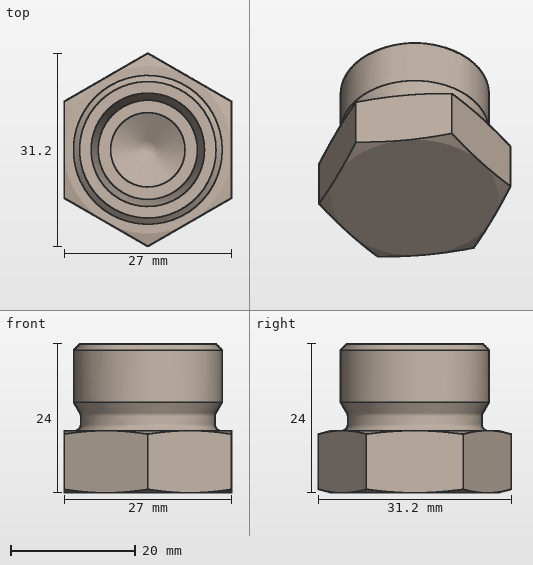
import cadquery as cq
import math

hex_corners = 31.18
hex_flats = hex_corners * math.cos(math.radians(30))
hex_height = 10.0
hex_chamfer_angle = 15.0

total_height = 24.0
spigot_diameter = 24.0
top_chamfer = 1.0
shoulder_height = 14.62
neck_diameter = 21.7
neck_cone_angle = 30.0
neck_blend_radius = 1.0
undercut_blend_radius = 1.0

mouth_diameter = 18.3
bore_diameter = 16.0
bore_cone_angle = 12.0
bore_depth = 8.5
pilot_diameter = 12.0
pilot_depth = 16.2
drill_tip_angle = 59.0


def tan_deg(angle):
    return math.tan(math.radians(angle))


def make_hexagon():
    """Hexagon with corners on Y, both ends turned down to the flats circle."""
    prism = cq.Workplane("XY").polygon(6, hex_corners).extrude(hex_height)
    prism = prism.rotate((0, 0, 0), (0, 0, 1), 90)
    flat_radius = hex_flats / 2
    corner_radius = hex_corners / 2
    drop = (corner_radius - flat_radius) * tan_deg(hex_chamfer_angle)
    turned_envelope = (
        cq.Workplane("XZ")
        .polyline([
            (0, 0),
            (flat_radius, 0),
            (corner_radius, drop),
            (corner_radius, hex_height - drop),
            (flat_radius, hex_height),
            (0, hex_height),
        ])
        .close()
        .revolve(360, (0, 0, 0), (0, 1, 0))
    )
    return prism.intersect(turned_envelope)


def make_spigot():
    """Chamfered spigot with a tapered undercut and a flared neck foot."""
    radius = spigot_diameter / 2
    neck_radius = neck_diameter / 2
    cone_end = shoulder_height - (radius - neck_radius) / tan_deg(neck_cone_angle)

    tangent_length = undercut_blend_radius * tan_deg(neck_cone_angle / 2)
    half_angle = math.radians(neck_cone_angle / 2)
    full_angle = math.radians(neck_cone_angle)
    blend_start = cone_end - tangent_length
    blend_middle = (
        neck_radius + undercut_blend_radius * (1 - math.cos(half_angle)),
        blend_start + undercut_blend_radius * math.sin(half_angle),
    )
    blend_end = (
        neck_radius + undercut_blend_radius * (1 - math.cos(full_angle)),
        blend_start + undercut_blend_radius * math.sin(full_angle),
    )

    foot_radius = neck_radius + neck_blend_radius
    foot_top = hex_height + neck_blend_radius
    foot_middle = (
        foot_radius - neck_blend_radius * math.sin(math.radians(45)),
        foot_top - neck_blend_radius * math.cos(math.radians(45)),
    )
    return (
        cq.Workplane("XZ")
        .moveTo(0, hex_height)
        .lineTo(foot_radius, hex_height)
        .threePointArc(foot_middle, (neck_radius, foot_top))
        .lineTo(neck_radius, blend_start)
        .threePointArc(blend_middle, blend_end)
        .lineTo(radius, shoulder_height)
        .lineTo(radius, total_height - top_chamfer)
        .lineTo(radius - top_chamfer, total_height)
        .lineTo(0, total_height)
        .close()
        .revolve(360, (0, 0, 0), (0, 1, 0))
    )


def make_bore():
    """Tapered mouth, straight bore, smaller pilot and conical drill tip."""
    mouth_radius = mouth_diameter / 2
    bore_radius = bore_diameter / 2
    pilot_radius = pilot_diameter / 2
    taper_end = total_height - (mouth_radius - bore_radius) / tan_deg(bore_cone_angle)
    bore_floor = total_height - bore_depth
    pilot_floor = total_height - pilot_depth
    tip = pilot_floor - pilot_radius / tan_deg(drill_tip_angle)
    return (
        cq.Workplane("XZ")
        .polyline([
            (0, total_height),
            (mouth_radius, total_height),
            (bore_radius, taper_end),
            (bore_radius, bore_floor),
            (pilot_radius, bore_floor),
            (pilot_radius, pilot_floor),
            (0, tip),
        ])
        .close()
        .revolve(360, (0, 0, 0), (0, 1, 0))
    )


result = make_hexagon().union(make_spigot()).cut(make_bore())